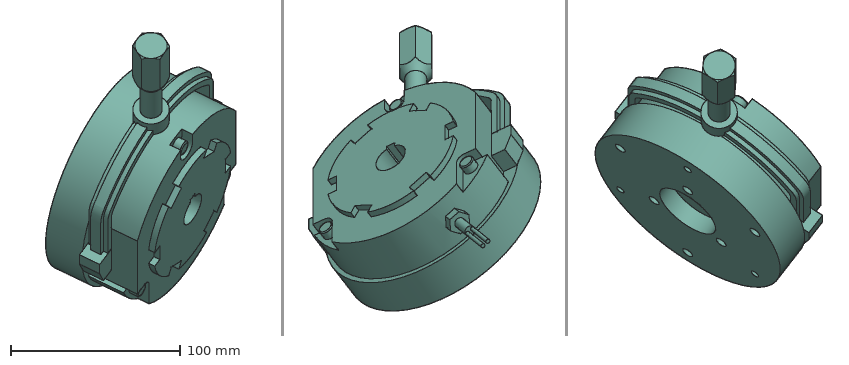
import cadquery as cq
import math

disc_end = 25.3
body_end = 57.2
flange_end = 61.5

disc_radius = 66.8
body_radius = 63.8
flange_radius = 43.8
flat_half_width = 56.3

recess_radius = 20.2
recess_depth = 11.7
bore_radius = 10.0
key_width = 5.5
key_top = 12.5

outer_hole_circle = 56.0
inner_hole_circle = 28.0
large_hole_radius = 3.5
small_hole_radius = 2.5
holes_per_ring = 3

notch_count = 6
notch_width = 13.4
notch_floor_radius = 37.5

pocket_start = 49.7
screw_radius = 4.7
screw_head_end = 55.8
screw_chamfer = 0.7
screw_angles = (90, 210, 330)
top_pocket_radius = 6.8
side_pocket_radius = 5.6
side_pocket_bottom = -47.1

yoke_axis_x = 32.5
band_width = 13.1
rib_width = 7.0
bow_radius = 82.8
bow_center_z = -7.0
yoke_half_span = 63.3
shoulder_radius = 14.0
rib_height = 3.0
yoke_thickness = 7.3
yoke_foot = 4.7

lug_end = 39.5
lug_half_span = 69.9
lug_top = 10.0
lug_slope_top = 1.0
lug_bottom = -10.5
lug_bottom_half_span = 65.6

collar_radius = 10.8
collar_bottom = 68.2
collar_top = 78.8
shaft_radius = 6.5
grip_bottom = 104.3
grip_top = 141.8
grip_corner_radius = 11.0
grip_cone_height = 7.3
grip_chamfer_height = 0.7

cable_axis_x = 39.9
cable_angle = -60
gland_corner_radius = 7.3
gland_end = 69.6
cable_radius = 3.3
cable_end = 83.7
wire_radius = 1.3
wire_offset = 2.0
wire_end = 105.0


def axial_cylinder(radius, start, end, y=0, z=0):
    """Cylinder along X between two axial stations."""
    return cq.Workplane("YZ", origin=(start, y, z)).circle(radius).extrude(end - start)


def span_box(x_span, y_span, z_span):
    """Box given by its (low, high) limits along each axis."""
    size = [high - low for low, high in (x_span, y_span, z_span)]
    low_corner = (x_span[0], y_span[0], z_span[0])
    return cq.Workplane("XY").box(*size, centered=False).translate(low_corner)


def polar(radius, degrees):
    """Y and Z of a point on a circle around the X axis."""
    angle = math.radians(degrees)
    return radius * math.cos(angle), radius * math.sin(angle)


def side_cuts():
    """Flat and screw pocket of the +Y side; the pocket is tangent to the flat's lower step."""
    screw_y, screw_z = polar(outer_hole_circle, screw_angles[-1])
    step_z = screw_z + side_pocket_radius
    floor_y = screw_y - side_pocket_radius
    pocket_x = (pocket_start, body_end)
    flat = span_box(
        (disc_end, body_end),
        (flat_half_width, body_radius),
        (step_z, body_radius),
    )
    around_screw = axial_cylinder(side_pocket_radius, pocket_start, body_end, screw_y, screw_z)
    outward = span_box(pocket_x, (screw_y, body_radius), (screw_z, step_z))
    downward = span_box(pocket_x, (floor_y, body_radius), (side_pocket_bottom, screw_z))
    return flat.union(around_screw).union(outward).union(downward)


def top_pocket():
    """Round-bottomed screw pocket that opens upward."""
    screw_z = outer_hole_circle
    around_screw = axial_cylinder(top_pocket_radius, pocket_start, body_end, 0, screw_z)
    upward = span_box(
        (pocket_start, body_end),
        (-top_pocket_radius, top_pocket_radius),
        (screw_z, body_radius),
    )
    return around_screw.union(upward)


def make_body():
    """Round body with side flats, and three screw heads in pockets at its rear edge."""
    body = axial_cylinder(body_radius, disc_end, body_end)
    side = side_cuts()
    body = body.cut(side).cut(side.mirror("XZ")).cut(top_pocket())
    for degrees in screw_angles:
        y, z = polar(outer_hole_circle, degrees)
        screw = axial_cylinder(screw_radius, pocket_start, screw_head_end, y, z)
        body = body.union(screw.faces(">X").chamfer(screw_chamfer))
    return body


def make_flange():
    """Rear flange with notches evenly spaced around its rim."""
    flange = axial_cylinder(flange_radius, body_end, flange_end)
    notch = span_box(
        (body_end, flange_end),
        (notch_floor_radius, flange_radius),
        (-notch_width / 2, notch_width / 2),
    )
    for i in range(notch_count):
        flange = flange.cut(notch.rotate((0, 0, 0), (1, 0, 0), i * 360 / notch_count))
    return flange


def yoke_area(inset, width):
    """Solid under the bow outline, moved inward by inset, and centred on the yoke axis."""
    half_span = yoke_half_span - inset
    radius = bow_radius - inset
    corner = shoulder_radius - inset
    corner_y = yoke_half_span - shoulder_radius
    corner_rise = math.sqrt((bow_radius - shoulder_radius) ** 2 - corner_y**2)
    corner_z = bow_center_z + corner_rise
    tangent_angle = math.atan2(corner_rise, corner_y)
    bow_end_y = radius * math.cos(tangent_angle)
    bow_end_z = bow_center_z + radius * math.sin(tangent_angle)
    shoulder_y = corner_y + corner * math.cos(tangent_angle / 2)
    shoulder_z = corner_z + corner * math.sin(tangent_angle / 2)
    return (
        cq.Workplane("YZ", origin=(yoke_axis_x - width / 2, 0, 0))
        .moveTo(-half_span, yoke_foot)
        .lineTo(-half_span, corner_z)
        .threePointArc((-shoulder_y, shoulder_z), (-bow_end_y, bow_end_z))
        .threePointArc((0, bow_center_z + radius), (bow_end_y, bow_end_z))
        .threePointArc((shoulder_y, shoulder_z), (half_span, corner_z))
        .lineTo(half_span, yoke_foot)
        .close()
        .extrude(width)
    )


def make_yoke():
    """Wide band with the narrower rib on its outside."""
    band = yoke_area(rib_height, band_width)
    rib = yoke_area(0, rib_width)
    return band.union(rib).cut(yoke_area(yoke_thickness, band_width))


def make_lugs():
    """Lug on each side of the body, with a sloping lower outer face."""
    lug = (
        cq.Workplane("YZ", origin=(disc_end, 0, 0))
        .moveTo(flat_half_width, lug_bottom)
        .lineTo(lug_bottom_half_span, lug_bottom)
        .lineTo(lug_half_span, lug_slope_top)
        .lineTo(lug_half_span, lug_top)
        .lineTo(flat_half_width, lug_top)
        .close()
        .extrude(lug_end - disc_end)
    )
    return lug.union(lug.mirror("XZ"))


def make_lever():
    """Collar, round shaft and hexagonal grip with turned ends."""
    def lever_plane(z):
        return cq.Workplane("XY", origin=(yoke_axis_x, 0, z))

    collar = lever_plane(collar_bottom).circle(collar_radius).extrude(collar_top - collar_bottom)
    shaft = lever_plane(collar_top).circle(shaft_radius).extrude(grip_bottom - collar_top)
    grip = (
        lever_plane(grip_bottom)
        .polygon(6, 2 * grip_corner_radius)
        .extrude(grip_top - grip_bottom)
        .rotate((yoke_axis_x, 0, 0), (yoke_axis_x, 0, 1), 90)
    )
    flat_radius = grip_corner_radius * math.cos(math.pi / 6)
    turned_envelope = (
        cq.Workplane("XZ", origin=(yoke_axis_x, 0, 0))
        .moveTo(0, grip_bottom)
        .lineTo(shaft_radius, grip_bottom)
        .lineTo(grip_corner_radius, grip_bottom + grip_cone_height)
        .lineTo(grip_corner_radius, grip_top - grip_chamfer_height)
        .lineTo(flat_radius, grip_top)
        .lineTo(0, grip_top)
        .close()
        .revolve(360, (0, 0, 0), (0, 1, 0))
    )
    return collar.union(shaft).union(grip.intersect(turned_envelope))


def make_cable():
    """Hexagonal gland, cable and two wires, built along +Y and then swung into place."""
    gland_start = body_radius - gland_corner_radius

    def cable_plane(y):
        return cq.Workplane("XZ", origin=(cable_axis_x, y, 0))

    gland = (
        cable_plane(gland_start)
        .polygon(6, 2 * gland_corner_radius)
        .extrude(gland_start - gland_end)
        .rotate((cable_axis_x, 0, 0), (cable_axis_x, 1, 0), 90)
    )
    cable = cable_plane(gland_end).circle(cable_radius).extrude(gland_end - cable_end)
    wires = (
        cable_plane(cable_end)
        .pushPoints([(0, wire_offset), (0, -wire_offset)])
        .circle(wire_radius)
        .extrude(cable_end - wire_end)
    )
    return gland.union(cable).union(wires).rotate((0, 0, 0), (1, 0, 0), cable_angle)


def cut_bore(part):
    """Stepped bore through the whole part with a keyway in its narrow length."""
    part = part.cut(axial_cylinder(bore_radius, 0, flange_end))
    part = part.cut(axial_cylinder(recess_radius, 0, recess_depth))
    return part.cut(span_box((0, flange_end), (-key_width / 2, key_width / 2), (0, key_top)))


def cut_holes(part):
    """Three rings of blind holes, each as deep as the mounting disc."""
    rings = (
        (outer_hole_circle, 30, large_hole_radius),
        (outer_hole_circle, 90, small_hole_radius),
        (inner_hole_circle, 90, large_hole_radius),
    )
    for circle, first_angle, hole_radius in rings:
        for i in range(holes_per_ring):
            y, z = polar(circle, first_angle + 360 / holes_per_ring * i)
            part = part.cut(axial_cylinder(hole_radius, 0, disc_end, y, z))
    return part


result = axial_cylinder(disc_radius, 0, disc_end)
for feature in (make_body(), make_flange(), make_lugs(), make_yoke(), make_lever(), make_cable()):
    result = result.union(feature)
result = cut_holes(cut_bore(result))